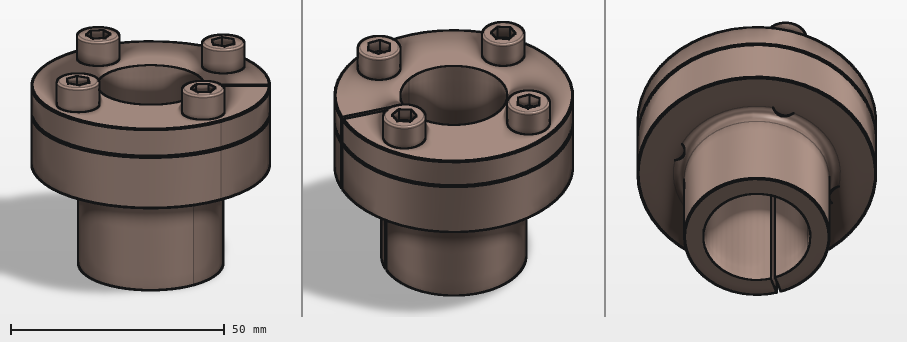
import cadquery as cq
import math

flange_diameter = 55.9
total_height = 51.0
hub_length = 25.0
lower_flange_thickness = 13.1
clamp_ring_thickness = 7.0
flange_chamfer = 0.3

hub_diameter = 34.05
bore_diameter = 25.05
hub_chamfer = 0.2
neck_fillet = 2.5

slit_width = 1.0
slit_angle = 53.7

screw_count = 4
screw_circle_radius = 20.95
shank_diameter = 6.0
head_diameter = 10.0
head_rounding = 0.5
socket_across_flats = 5.05
socket_depth = 3.0

ring_bottom = hub_length + lower_flange_thickness
ring_top = ring_bottom + clamp_ring_thickness
head_height = total_height - ring_top


def disc(bottom, height, diameter):
    return cq.Workplane("XY").workplane(offset=bottom).circle(diameter / 2).extrude(height)


def hub():
    """Plain hub with a concave fillet flaring into the lower flange."""
    hub_radius = hub_diameter / 2
    fillet_bottom = hub_length - neck_fillet
    fillet_drop = neck_fillet * math.sin(math.pi / 4)
    fillet_middle = (
        hub_radius + neck_fillet - fillet_drop,
        fillet_bottom + fillet_drop,
    )
    return (
        cq.Workplane("XZ")
        .lineTo(hub_radius - hub_chamfer, 0)
        .lineTo(hub_radius, hub_chamfer)
        .lineTo(hub_radius, fillet_bottom)
        .threePointArc(fillet_middle, (hub_radius + neck_fillet, hub_length))
        .lineTo(0, hub_length)
        .close()
        .revolve(360, (0, 0), (0, 1))
    )


def flange(bottom, thickness):
    return disc(bottom, thickness, flange_diameter).edges().chamfer(flange_chamfer)


def slit():
    return (
        cq.Workplane("XY")
        .rect(flange_diameter, slit_width)
        .extrude(total_height)
        .translate((flange_diameter / 2, 0, 0))
        .rotate((0, 0, 0), (0, 0, 1), slit_angle)
    )


def screw_head():
    """Rounded head whose hexagonal socket has a corner on the X axis."""
    head = disc(ring_top, head_height, head_diameter).faces(">Z").edges().fillet(head_rounding)
    socket_across_corners = socket_across_flats / math.cos(math.pi / 6)
    socket = (
        cq.Workplane("XY")
        .workplane(offset=total_height - socket_depth)
        .polygon(6, socket_across_corners)
        .extrude(socket_depth)
    )
    return head.cut(socket)


def around_screw_circle(shape, index):
    """Place a shape at one screw position, turned to face outwards."""
    angle = index * 360 / screw_count
    return shape.translate((screw_circle_radius, 0, 0)).rotate((0, 0, 0), (0, 0, 1), angle)


notched_hub = hub()
for index in range(screw_count):
    hole_end = disc(hub_length - neck_fillet, neck_fillet, shank_diameter)
    notched_hub = notched_hub.cut(around_screw_circle(hole_end, index))

body = (
    notched_hub
    .union(flange(hub_length, lower_flange_thickness))
    .union(flange(ring_bottom, clamp_ring_thickness))
    .cut(disc(0, total_height, bore_diameter))
    .cut(slit())
)

for index in range(screw_count):
    body = body.union(around_screw_circle(screw_head(), index))

result = body